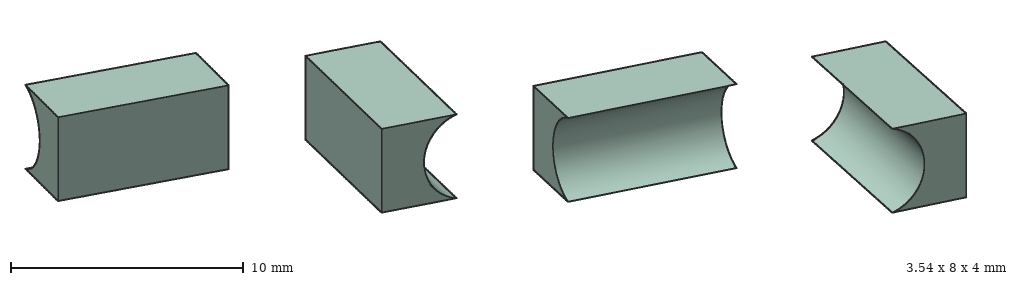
import cadquery as cq
import math

length = 8.0
height = 4.0

groove_radius = 2.07
back_wall = 2.0

half_height = height / 2
groove_depth = groove_radius - math.sqrt(groove_radius**2 - half_height**2)

half_width = (back_wall + groove_depth) / 2
groove_bottom_x = half_width - back_wall


def grooved_profile():
    """Rectangle in XZ whose -X side is a concave arc ending in two sharp lips."""
    return (
        cq.Workplane("XZ")
        .moveTo(-half_width, half_height)
        .lineTo(half_width, half_height)
        .lineTo(half_width, -half_height)
        .lineTo(-half_width, -half_height)
        .threePointArc((groove_bottom_x, 0), (-half_width, half_height))
        .close()
    )


result = grooved_profile().extrude(length / 2, both=True)